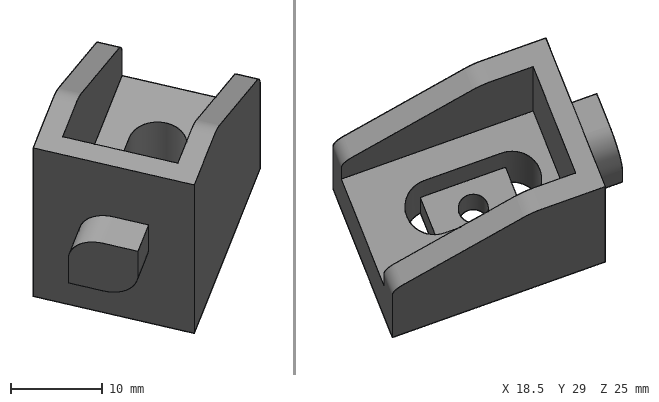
import cadquery as cq
import math

width = 18.5
overall_length = 29.0
body_size = 25.0
side_wall = 2.65
front_wall = 2.5
floor_thickness = 10.3

flat_top_length = 8.58
slope_angle = 30.0
top_edge_radius = 4.0
back_edge_radius = 2.5

slot_width = 6.5
slot_length = 15.6
slot_center_y = 12.0
bridge_length = 10.0
bridge_thickness = floor_thickness / 2
bridge_hole_diameter = 3.3

key_size = 8.0
key_radius = key_size / 2
key_depth = overall_length - body_size


def make_body():
    """Block with a sloped, rounded top edge."""
    slope_drop = (body_size - flat_top_length) * math.tan(math.radians(slope_angle))
    back_height = body_size - slope_drop
    block = (
        cq.Workplane("YZ")
        .polyline([
            (0, 0),
            (body_size, 0),
            (body_size, back_height),
            (flat_top_length, body_size),
            (0, body_size),
        ])
        .close()
        .extrude(width / 2, both=True)
    )
    block = block.edges(cq.NearestToPointSelector((0, flat_top_length, body_size))).fillet(top_edge_radius)
    return block.edges(cq.NearestToPointSelector((0, body_size, back_height))).fillet(back_edge_radius)


def make_channel():
    """Space between the side walls, open at the top and back."""
    return cq.Workplane("XY").box(
        width - 2 * side_wall, body_size, body_size, centered=(True, False, False)
    ).translate((0, front_wall, floor_thickness))


def make_slot():
    """Floor slot cutter that leaves the drilled bridge in place."""
    base = cq.Workplane("XY").center(0, slot_center_y)
    slot = base.slot2D(slot_length, slot_width, 90).extrude(floor_thickness)
    bridge = base.rect(slot_width, bridge_length).extrude(bridge_thickness)
    hole = base.circle(bridge_hole_diameter / 2).extrude(bridge_thickness)
    return slot.cut(bridge.cut(hole))


def make_key():
    """Square key with two opposite corners fully rounded."""
    half = key_size / 2
    middle = body_size / 2
    key = (
        cq.Workplane("XZ")
        .center(0, middle)
        .rect(key_size, key_size)
        .extrude(key_depth)
    )
    for side in (-1, 1):
        corner = (side * half, -key_depth / 2, middle - side * half)
        key = key.edges(cq.NearestToPointSelector(corner)).fillet(key_radius)
    return key


result = make_body().cut(make_channel()).cut(make_slot()).union(make_key())